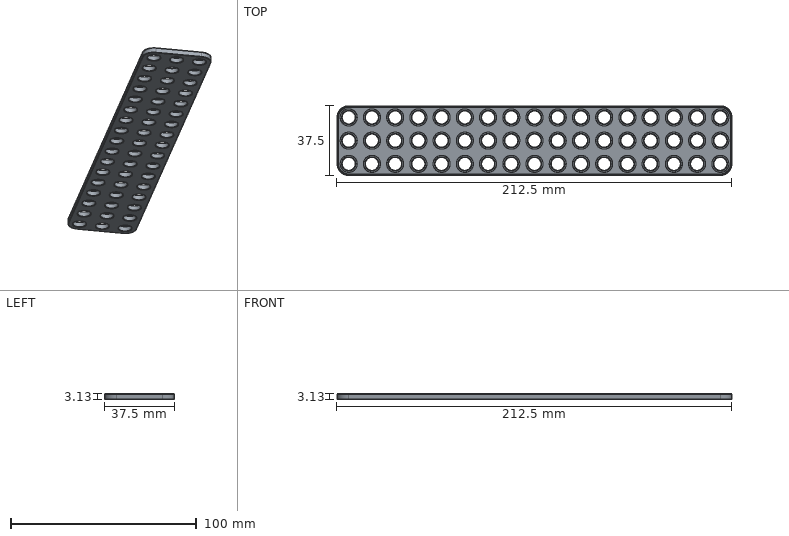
import cadquery as cq

pitch = 12.5
columns = 17
rows = 3
hole_diameter = 7.0

length = columns * pitch
width = rows * pitch
thickness = pitch / 4
corner_radius = pitch / 2
edge_chamfer = 0.3

hole_rim_diameter = 9.2
edge_rim_width = 0.8
recess_depth = 0.2


def rounded_slab(inset, height):
    """Slab on Z = 0 whose outline lies `inset` inside the plate outline."""
    slab = cq.Workplane("XY").box(
        length - 2 * inset, width - 2 * inset, height, centered=(True, True, False)
    )
    return slab.edges("|Z").fillet(corner_radius - inset)


def grid_of_cylinders(diameter, height):
    """Separate cylinders standing on Z = 0 at every grid point."""
    grid = cq.Workplane("XY").rarray(pitch, pitch, columns, rows)
    return grid.circle(diameter / 2).extrude(height)


def make_perforated_plate():
    """Plate with all through holes, chamfered along every top and bottom edge."""
    plate = rounded_slab(0, thickness).cut(grid_of_cylinders(hole_diameter, thickness))
    return plate.faces("<Z or >Z").edges().chamfer(edge_chamfer)


def make_face_recess():
    """Shallow sheet that fills the area between the edge rim and the hole rims."""
    return rounded_slab(edge_rim_width, recess_depth).cut(grid_of_cylinders(hole_rim_diameter, recess_depth))


def recess_top_face(plate):
    """Lower the area between the rims on the top face."""
    return plate.cut(make_face_recess().translate((0, 0, thickness - recess_depth)))


result = recess_top_face(make_perforated_plate())